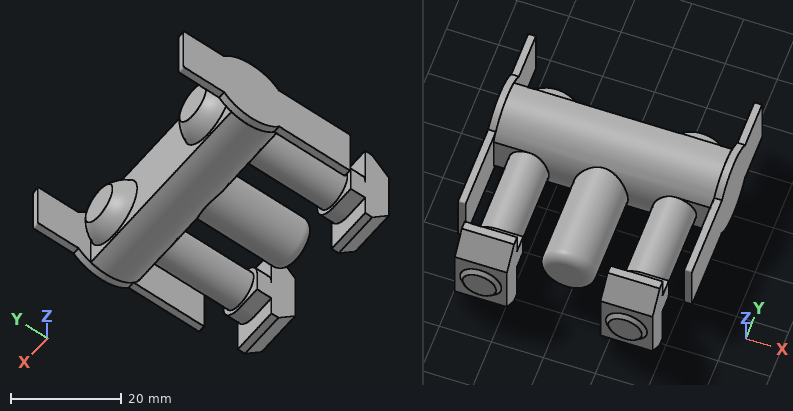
import cadquery as cq
import math


total_width = 45.0
total_length = 50.25
side_plate_back = 15.55
bolt_tip = side_plate_back - total_length

plate_thickness = 1.5
plate_length = 38.0
plate_height = 11.35
plate_corner_radius = 0.3
plate_disc_radius = 8.45
plate_inner_x = total_width / 2 - plate_thickness

barrel_radius = 8.5
barrel_flat = 3.45

pin_radius = 5.25
pin_end = -27.5
pin_end_fillet = 2.0

bolt_spacing = 28.0
bolt_radius = 4.0
bolt_tip_chamfer = 0.8
bolt_tip_length = 0.75
head_base_radius = 6.85
head_top_radius = 4.0
head_height = 3.45

nut_width = 10.05
nut_height = 19.6
nut_chamfer = 3.85
nut_body_length = 5.5
nut_neck_length = 3.25
nut_front = bolt_tip + bolt_tip_length
nut_shoulder = nut_front + nut_body_length
nut_neck_back = nut_shoulder + nut_neck_length


def rod(radius, y_start, y_end, x=0.0):
    """Cylinder parallel to Y, running forward from y_start to y_end."""
    base = cq.Workplane("XZ", origin=(x, y_start, 0))
    return base.circle(radius).extrude(y_start - y_end)


def make_barrel():
    """Barrel with a full-length rear flat and a small front flat outside each bolt."""
    barrel = cq.Workplane("YZ").circle(barrel_radius).extrude(plate_inner_x, both=True)
    behind_flat = cq.Workplane("XY").box(
        total_width, barrel_radius, 2 * barrel_radius, centered=(True, False, True)
    ).translate((0, barrel_flat, 0))
    barrel = barrel.cut(behind_flat)

    front_flat = -math.sqrt(barrel_radius**2 - bolt_radius**2)
    flat_length = plate_inner_x - bolt_spacing / 2
    for side in (-1, 1):
        ahead_of_flat = cq.Workplane("XY").box(
            flat_length, barrel_radius, 2 * barrel_radius
        ).translate((side * (bolt_spacing + flat_length) / 2, front_flat - barrel_radius / 2, 0))
        barrel = barrel.cut(ahead_of_flat)
    return barrel


def make_side_plate(inner_x):
    """Flat bar with a round bulge almost as wide as the barrel."""
    plane = cq.Workplane("YZ", origin=(inner_x, 0, 0))
    bar = (
        plane.center(side_plate_back - plate_length / 2, 0)
        .rect(plate_length, plate_height)
        .extrude(plate_thickness)
        .edges("|X")
        .fillet(plate_corner_radius)
    )
    disc = cq.Workplane("YZ", origin=(inner_x, 0, 0)).circle(plate_disc_radius).extrude(plate_thickness)
    return bar.union(disc)


def make_pin():
    return rod(pin_radius, 0, pin_end).faces("<Y").edges().fillet(pin_end_fillet)


def make_bolt_head(x):
    """Button head: a slice of a sphere whose centre lies on the bolt axis."""
    sphere_offset = (head_base_radius**2 - head_top_radius**2 - head_height**2) / (2 * head_height)
    sphere_radius = math.hypot(head_base_radius, sphere_offset)
    middle_height = head_height / 2
    middle_radius = math.sqrt(sphere_radius**2 - (middle_height + sphere_offset) ** 2)
    return (
        cq.Workplane("XY", origin=(x, barrel_flat, 0))
        .lineTo(head_base_radius, 0)
        .threePointArc((middle_radius, middle_height), (head_top_radius, head_height))
        .lineTo(0, head_height)
        .close()
        .revolve(360, (0, 0), (0, 1))
    )


def make_bolt(x):
    shank = rod(bolt_radius, barrel_flat, bolt_tip, x)
    shank = shank.faces("<Y").edges().chamfer(bolt_tip_chamfer)
    return shank.union(make_bolt_head(x))


def make_nut(x):
    """T-slot nut: chamfered cross bar plus a square neck with two opposite round corners."""
    body = (
        cq.Workplane("XY")
        .box(nut_width, nut_body_length, nut_height, centered=(True, False, True))
        .edges("|X and <Y")
        .chamfer(nut_chamfer)
        .translate((x, nut_front, 0))
    )
    half = nut_width / 2
    arc_middle = half * math.sqrt(0.5)
    neck = (
        cq.Workplane("XZ", origin=(x, nut_neck_back, 0))
        .moveTo(-half, 0)
        .threePointArc((-arc_middle, arc_middle), (0, half))
        .lineTo(half, half)
        .lineTo(half, 0)
        .threePointArc((arc_middle, -arc_middle), (0, -half))
        .lineTo(-half, -half)
        .close()
        .extrude(nut_neck_length)
    )
    return body.union(neck)


result = make_barrel().union(make_pin())
for plate_x in (-total_width / 2, plate_inner_x):
    result = result.union(make_side_plate(plate_x))
for bolt_x in (-bolt_spacing / 2, bolt_spacing / 2):
    result = result.union(make_bolt(bolt_x)).union(make_nut(bolt_x))